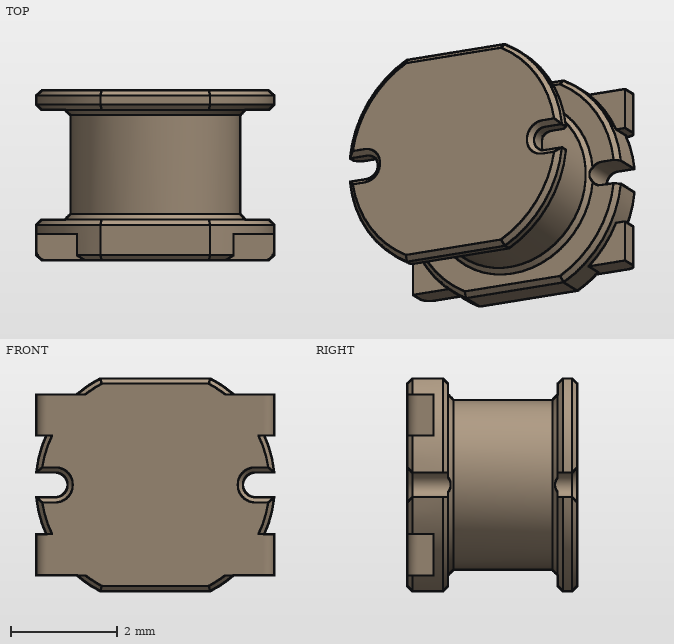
import cadquery as cq
import math

total_length = 3.2
flange_height = 4.0
flange_radius = 2.25

front_flange_thickness = 0.77
back_flange_thickness = 0.37
core_radius = 1.6
bevel = 0.1

notch_radius = 0.23
notch_center_x = 1.88

pad_span = 4.48
pad_inner_z = 0.925
pad_outer_z = 1.7
pad_depth = 0.5
pad_round = 0.2

front_y = -total_length / 2
back_y = total_length / 2
front_inner_y = front_y + front_flange_thickness
back_inner_y = back_y - back_flange_thickness


def along_y(start_y):
    """Sketch plane at start_y, X to the right and Z up, extruding toward +Y."""
    return cq.Workplane(cq.Plane(origin=(0, start_y, 0), xDir=(1, 0, 0), normal=(0, -1, 0)))


def flange_blank(start_y, thickness):
    """Disc with flat top and bottom."""
    half_height = flange_height / 2
    flat_half = math.sqrt(flange_radius**2 - half_height**2)
    return (
        along_y(start_y)
        .moveTo(-flat_half, half_height)
        .lineTo(flat_half, half_height)
        .threePointArc((flange_radius, 0), (flat_half, -half_height))
        .lineTo(-flat_half, -half_height)
        .threePointArc((-flange_radius, 0), (-flat_half, half_height))
        .close()
        .extrude(-thickness)
    )


def wire_notches(start_y, thickness):
    """Round-ended slots that open at both sides of a flange."""
    slot_length = 2 * (flange_radius - notch_center_x + notch_radius) + 2 * notch_radius
    slot_center_x = notch_center_x - notch_radius + slot_length / 2
    return (
        along_y(start_y)
        .pushPoints([(-slot_center_x, 0), (slot_center_x, 0)])
        .slot2D(slot_length, 2 * notch_radius)
        .extrude(-thickness)
    )


def flange(start_y, thickness, outer_face, inner_face):
    """Flange with bevelled rims; the outer bevel also follows the notches."""
    body = flange_blank(start_y, thickness).faces(inner_face).chamfer(bevel)
    body = body.cut(wire_notches(start_y, thickness))
    return body.faces(outer_face).chamfer(bevel)


def core():
    """Cylinder with a cone flaring out to each flange."""
    foot_radius = core_radius + bevel
    return (
        cq.Workplane("XY")
        .moveTo(0, front_inner_y)
        .lineTo(foot_radius, front_inner_y)
        .lineTo(core_radius, front_inner_y + bevel)
        .lineTo(core_radius, back_inner_y - bevel)
        .lineTo(foot_radius, back_inner_y)
        .lineTo(0, back_inner_y)
        .close()
        .revolve(360, (0, 0, 0), (0, 1, 0))
    )


def terminal_bar(center_z):
    """Bar across the front flange whose two ends form terminal pads."""
    return (
        along_y(front_y)
        .center(0, center_z)
        .rect(pad_span, pad_outer_z - pad_inner_z)
        .extrude(-pad_depth)
        .faces("<Y")
        .edges("|Z")
        .fillet(pad_round)
    )


front_flange = flange(front_y, front_flange_thickness, "<Y", ">Y")
back_flange = flange(back_inner_y, back_flange_thickness, ">Y", "<Y")

bobbin_core = core().cut(wire_notches(front_y, total_length))

result = front_flange.union(bobbin_core).union(back_flange)
pad_center_z = (pad_inner_z + pad_outer_z) / 2
for side in (-1, 1):
    result = result.union(terminal_bar(side * pad_center_z))